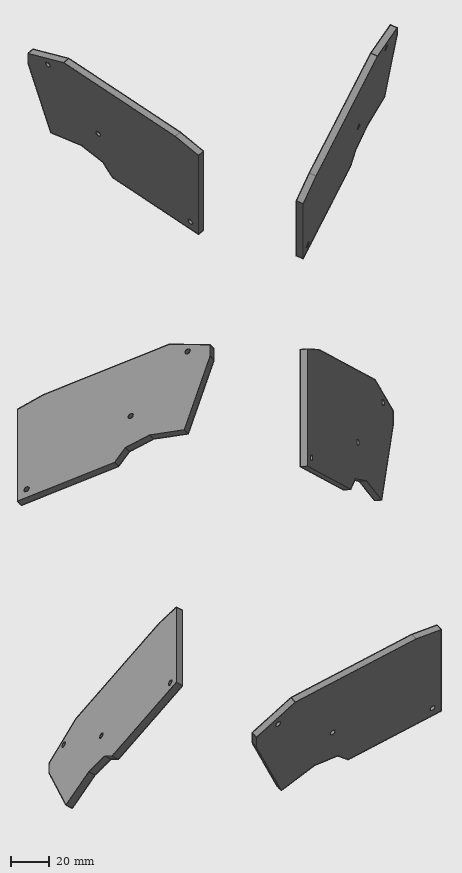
import cadquery as cq

length = 119.0
thickness = 4.0
height = 66.0

left_slope_length = 25.0
left_slope_bottom = 54.5
right_slope_length = 16.3
right_slope_drop = 3.0

left_edge_bottom = 46.8
tip_x, tip_z = 16.0, 3.2

notch_peak_x, notch_peak_z = 37.4, 9.2
notch_step_x, notch_step_z = 52.2, 7.1
bottom_edge_start = 58.9

hole_diameter = 3.1
corner_hole_inset = 5.7
hole_centers = [
    (13.9, 56.0),
    (49.0, 27.4),
    (length - corner_hole_inset, corner_hole_inset),
]

outline = [
    (0, left_slope_bottom),
    (left_slope_length, height),
    (length - right_slope_length, height),
    (length, height - right_slope_drop),
    (length, 0),
    (bottom_edge_start, 0),
    (notch_step_x, notch_step_z),
    (notch_peak_x, notch_peak_z),
    (tip_x, tip_z),
    (0, left_edge_bottom),
]

plate = cq.Workplane("XZ").polyline(outline).close().extrude(thickness)
holes = (
    cq.Workplane("XZ")
    .pushPoints(hole_centers)
    .circle(hole_diameter / 2)
    .extrude(thickness)
)

result = plate.cut(holes)